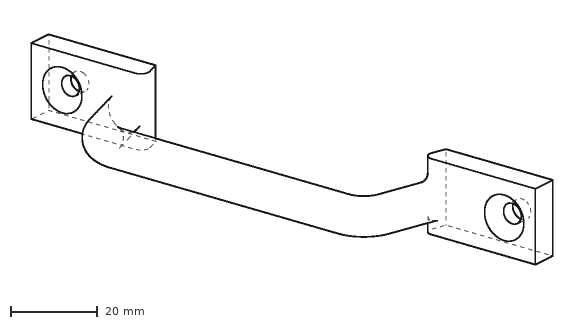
import cadquery as cq
import math

length = 146.0
projection = 32.0
plate_height = 19.0
plate_thickness = 6.7
edge_radius = 2.2
grip_diameter = 9.5
straight_grip_length = 65.8
leg_lean_deg = 17.0
inner_bend_radius = 3.0
root_fillet_radius = 2.9
plate_end_overhang = 0.07
hole_edge_distance = 9.0
hole_diameter = 5.1
countersink_diameter = 11.4
countersink_angle_deg = 90.0

grip_radius = grip_diameter / 2
lean = math.radians(leg_lean_deg)
bend_radius = inner_bend_radius + grip_radius
grip_y = grip_radius - projection
bend_center_x = -straight_grip_length / 2
bend_center_y = grip_y + bend_radius


def point_on_bend(angle, radius=bend_radius):
    """Point on the left bend, with the angle measured from the straight grip."""
    return (
        bend_center_x - radius * math.sin(angle),
        bend_center_y - radius * math.cos(angle),
    )


bend_angle = math.pi / 2 - lean
leg_start = point_on_bend(bend_angle)
leg_top_y = plate_thickness
leg_top = (leg_start[0] - (leg_top_y - leg_start[1]) * math.tan(lean), leg_top_y)

flush_x, flush_y = point_on_bend(bend_angle, inner_bend_radius)
plate_back_x = flush_x + flush_y * math.tan(lean) + plate_end_overhang
plate_front_x = plate_back_x + plate_thickness * math.tan(lean)


def make_plate():
    """Mounting plate with a sloping inner end and a rounded front edge."""
    outer_x = -length / 2
    plate = (
        cq.Workplane("XY")
        .polyline([
            (outer_x, 0),
            (plate_back_x, 0),
            (plate_front_x, -plate_thickness),
            (outer_x, -plate_thickness),
        ])
        .close()
        .extrude(plate_height / 2, both=True)
    )
    front_edge = cq.selectors.NearestToPointSelector((plate_front_x, -plate_thickness, 0))
    return plate.edges(front_edge).fillet(edge_radius)


def make_half_bar():
    """Left half of the round bar: leg, bend and half of the straight grip."""
    path = (
        cq.Workplane("XY")
        .moveTo(0, grip_y)
        .lineTo(bend_center_x, grip_y)
        .threePointArc(point_on_bend(bend_angle / 2), leg_start)
        .lineTo(*leg_top)
    )
    bar = cq.Workplane("YZ").center(grip_y, 0).circle(grip_radius).sweep(path)
    trim = cq.Workplane("XY").box(length, projection, plate_height, centered=(True, False, True))
    return bar.cut(trim)


def blend_root(body):
    """Fillet the bar into the front face of the plate."""
    root_x = leg_start[0] - (-plate_thickness - leg_start[1]) * math.tan(lean)
    root_outer_x = root_x - grip_radius / math.cos(lean)
    root_edge = cq.selectors.NearestToPointSelector((root_outer_x, -plate_thickness, 0))
    return body.edges(root_edge).fillet(root_fillet_radius)


def drill_plate(body):
    """Countersunk screw hole opening towards the grip."""
    return (
        body.copyWorkplane(cq.Workplane("XZ", origin=(0, -plate_thickness, 0)))
        .center(hole_edge_distance - length / 2, 0)
        .cskHole(hole_diameter, countersink_diameter, countersink_angle_deg)
    )


half = drill_plate(blend_root(make_plate().union(make_half_bar())))
result = half.union(half.mirror("YZ"))